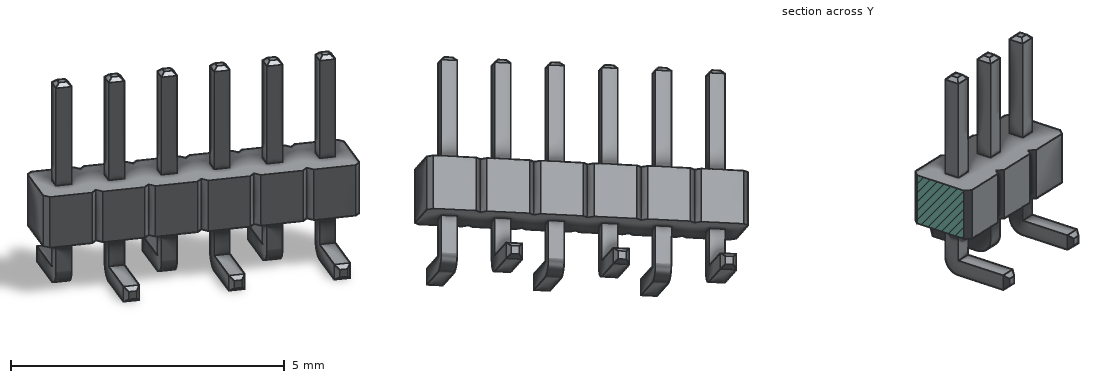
import cadquery as cq

pin_count = 6
pitch = 1.0
pin_width = 0.3
pin_height = 4.0
foot_reach = 1.25
bend_radius = 0.3
tip_inset = 0.075
pin_tip_length = 0.075
foot_tip_length = 0.09

body_width = 1.28
body_height = 1.0
body_bottom = 1.0
notch_depth = 0.11
notch_half_width = 0.1

row_length = pin_count * pitch


def make_body():
    """Bar with bevelled corners and a V notch on both sides between pins."""
    wide = body_width / 2
    narrow = wide - notch_depth
    edge = []
    for i in range(pin_count):
        start = -row_length / 2 + i * pitch
        end = start + pitch
        edge += [(narrow, start), (wide, start + notch_half_width), (wide, end - notch_half_width)]
    edge.append((narrow, row_length / 2))
    opposite_edge = [(-x, -y) for x, y in edge]
    return (
        cq.Workplane("XY", origin=(0, 0, body_bottom))
        .polyline(edge + opposite_edge)
        .close()
        .extrude(body_height)
    )


def make_tip(plane, length):
    """Square frustum standing on a plane, narrowing away from it."""
    end_width = pin_width - 2 * tip_inset
    return (
        cq.Workplane(plane)
        .rect(pin_width, pin_width)
        .workplane(offset=length)
        .rect(end_width, end_width)
        .loft(ruled=True)
    )


def make_pin():
    """Square pin on the Z axis whose foot points toward +X."""
    half = pin_width / 2
    shaft_top = pin_height - pin_tip_length
    foot_end = foot_reach - foot_tip_length
    bend = (
        cq.Workplane("XZ")
        .moveTo(-half, shaft_top)
        .lineTo(-half, bend_radius)
        .radiusArc((bend_radius - half, 0), -bend_radius)
        .lineTo(foot_end, 0)
        .lineTo(foot_end, pin_width)
        .lineTo(half, pin_width)
        .lineTo(half, shaft_top)
        .close()
        .extrude(half, both=True)
    )
    top_plane = cq.Plane(origin=(0, 0, shaft_top), xDir=(1, 0, 0), normal=(0, 0, 1))
    foot_plane = cq.Plane(origin=(foot_end, 0, half), xDir=(0, 1, 0), normal=(1, 0, 0))
    return bend.union(make_tip(top_plane, pin_tip_length)).union(make_tip(foot_plane, foot_tip_length))


def make_part():
    part = make_body()
    right_pin = make_pin()
    left_pin = right_pin.rotate((0, 0, 0), (0, 0, 1), 180)
    first_y = -(row_length - pitch) / 2
    for i in range(pin_count):
        pin = left_pin if i % 2 == 0 else right_pin
        part = part.union(pin.translate((0, first_y + i * pitch, 0)))
    return part


result = make_part()